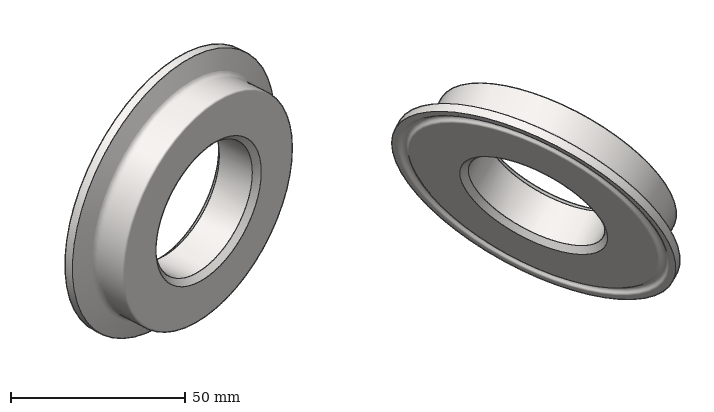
import cadquery as cq
import math

length = 15.9
flange_radius = 45.5
hub_radius = 76.2 / 2
bore_radius = 21.8

rim_width = 2.8
back_angle = math.radians(20.0)
neck_fillet = 1.6

bore_chamfer = 1.8
hub_end_fillet = 0.6

groove_radius = 41.6
groove_half_width = 2.0
groove_lip_radius = 0.9
groove_floor_radius = 1.4
groove_wall_angle = math.radians(50.0)

lip_width = groove_lip_radius * math.sin(groove_wall_angle)
lip_depth = groove_lip_radius * (1 - math.cos(groove_wall_angle))
floor_half_width = groove_floor_radius * math.sin(groove_wall_angle)
wall_width = groove_half_width - lip_width - floor_half_width
wall_depth = wall_width * math.tan(groove_wall_angle)

neck_x = rim_width + (flange_radius - hub_radius) * math.tan(back_angle)


def circular_edge(x, radius):
    """Selector for the circular edge of the given radius around the X axis at x."""
    margin = 0.1
    reach = radius + margin
    return cq.selectors.BoxSelector(
        (x - margin, -reach, -reach),
        (x + margin, reach, reach),
        boundingbox=True,
    )


def body_profile():
    """Half section with x along the part axis and y as the radius."""
    inner_lip = groove_radius - groove_half_width
    outer_lip = groove_radius + groove_half_width
    floor_depth = lip_depth + wall_depth
    return (
        cq.Workplane("XY")
        .moveTo(0, bore_radius + bore_chamfer)
        .lineTo(0, inner_lip)
        .tangentArcPoint((lip_depth, inner_lip + lip_width), relative=False)
        .lineTo(floor_depth, groove_radius - floor_half_width)
        .tangentArcPoint((floor_depth, groove_radius + floor_half_width), relative=False)
        .lineTo(lip_depth, outer_lip - lip_width)
        .tangentArcPoint((0, outer_lip), relative=False)
        .lineTo(0, flange_radius)
        .lineTo(rim_width, flange_radius)
        .lineTo(neck_x, hub_radius)
        .lineTo(length, hub_radius)
        .lineTo(length, bore_radius + bore_chamfer)
        .lineTo(length - bore_chamfer, bore_radius)
        .lineTo(bore_chamfer, bore_radius)
        .close()
    )


body = body_profile().revolve(360, (0, 0, 0), (1, 0, 0))
body = body.edges(circular_edge(neck_x, hub_radius)).fillet(neck_fillet)
result = body.faces(">X").edges(cq.selectors.RadiusNthSelector(-1)).fillet(hub_end_fillet)